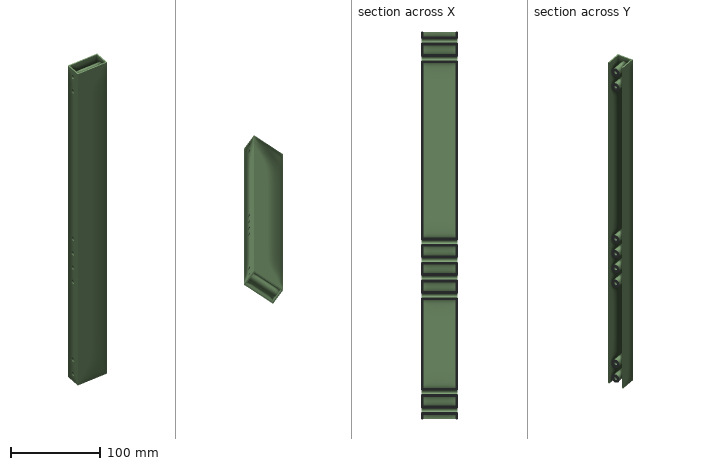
import cadquery as cq

length = 433.5
width = 20.0
depth = 40.0
wall = 1.5

hole_diameter = 5.0
sleeve_diameter = 9.0
hole_pitch = 20.0
end_margin = hole_pitch / 2
middle_group_start = 138.5
middle_group_count = 4

lower_holes = [end_margin, end_margin + hole_pitch]
middle_holes = [middle_group_start + i * hole_pitch for i in range(middle_group_count)]
upper_holes = [length - z for z in lower_holes]
hole_heights = lower_holes + middle_holes + upper_holes


def cross_cylinders(diameter, span):
    """Cylinders along Y, centred on the tube axis at every hole height."""
    return (
        cq.Workplane("XZ")
        .pushPoints([(0, z) for z in hole_heights])
        .circle(diameter / 2)
        .extrude(span / 2, both=True)
    )


tube = (
    cq.Workplane("XY")
    .rect(width, depth)
    .rect(width - 2 * wall, depth - 2 * wall)
    .extrude(length)
)

sleeves = cross_cylinders(sleeve_diameter, depth - wall)
holes = cross_cylinders(hole_diameter, depth)

result = tube.union(sleeves).cut(holes)